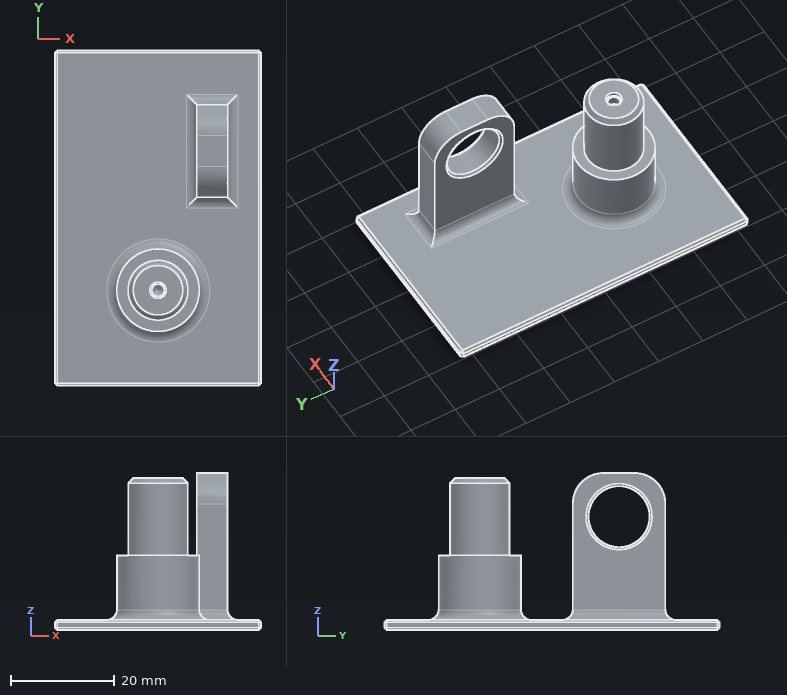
import cadquery as cq
import math

PLATE_WIDTH = 40.0
PLATE_LENGTH = 65.0
PLATE_THICKNESS = 2.0
PLATE_CHAMFER = 0.5

ROOT_FILLET = 2.0
ROOT_SEARCH_MARGIN = 0.1

POST_X = 0.0
POST_Y = -14.0
BOSS_DIAMETER = 16.0
BOSS_HEIGHT = 12.5
PIN_DIAMETER = 11.6
PIN_LENGTH = 15.0
PIN_CHAMFER = 1.0
PIN_TOP = PLATE_THICKNESS + BOSS_HEIGHT + PIN_LENGTH

CENTRE_HOLE_DIAMETER = 2.4
CENTRE_HOLE_DEPTH = 3.0
DRILL_POINT_ANGLE = 118.0
COUNTERBORE_DIAMETER = 3.15
COUNTERBORE_DEPTH = 0.9

LUG_X = 10.5
LUG_Y = 13.0
LUG_THICKNESS = 6.0
LUG_WIDTH = 18.0
LUG_HEIGHT = 28.5
LUG_CORNER_RADIUS = 6.0
LUG_HOLE_DIAMETER = 11.79
LUG_HOLE_Z = 22.0
LUG_HOLE_CHAMFER = 0.5


def make_plate():
    """Rectangular plate with all of its edges chamfered."""
    plate = cq.Workplane("XY").box(
        PLATE_WIDTH, PLATE_LENGTH, PLATE_THICKNESS, centered=(True, True, False)
    )
    return plate.edges().chamfer(PLATE_CHAMFER)


def fillet_root(body, x, y, size_x, size_y):
    """Fillet the edges where a feature with the given footprint meets the plate top."""
    half_x = size_x / 2 + ROOT_SEARCH_MARGIN
    half_y = size_y / 2 + ROOT_SEARCH_MARGIN
    lower = (x - half_x, y - half_y, PLATE_THICKNESS - ROOT_SEARCH_MARGIN)
    upper = (x + half_x, y + half_y, PLATE_THICKNESS + ROOT_SEARCH_MARGIN)
    root_edges = body.edges(cq.selectors.BoxSelector(lower, upper, boundingbox=True))
    return root_edges.fillet(ROOT_FILLET)


def add_post(body):
    """Stand the boss and its pin on the plate and fillet the boss root."""
    boss = (
        cq.Workplane("XY", origin=(POST_X, POST_Y, PLATE_THICKNESS))
        .circle(BOSS_DIAMETER / 2)
        .extrude(BOSS_HEIGHT)
    )
    pin = (
        boss.faces(">Z")
        .workplane()
        .circle(PIN_DIAMETER / 2)
        .extrude(PIN_LENGTH, combine=False)
        .faces(">Z")
        .chamfer(PIN_CHAMFER)
    )
    with_boss = fillet_root(body.union(boss), POST_X, POST_Y, BOSS_DIAMETER, BOSS_DIAMETER)
    return with_boss.union(pin)


def add_lug(body):
    """Stand the lug on the plate, round its top corners and fillet its root."""
    lug = (
        cq.Workplane("XY", origin=(LUG_X, LUG_Y, PLATE_THICKNESS))
        .box(LUG_THICKNESS, LUG_WIDTH, LUG_HEIGHT, centered=(True, True, False))
        .edges("|X and >Z")
        .fillet(LUG_CORNER_RADIUS)
    )
    return fillet_root(body.union(lug), LUG_X, LUG_Y, LUG_THICKNESS, LUG_WIDTH)


def make_centre_hole():
    """Drilled hole with a shallow counterbore at its mouth and a conical bottom."""
    radius = CENTRE_HOLE_DIAMETER / 2
    mouth_radius = COUNTERBORE_DIAMETER / 2
    point_depth = radius / math.tan(math.radians(DRILL_POINT_ANGLE / 2))
    outline = [
        (0, 0),
        (mouth_radius, 0),
        (mouth_radius, -COUNTERBORE_DEPTH),
        (radius, -COUNTERBORE_DEPTH),
        (radius, -CENTRE_HOLE_DEPTH),
        (0, -CENTRE_HOLE_DEPTH - point_depth),
    ]
    profile = cq.Workplane("XZ", origin=(POST_X, POST_Y, PIN_TOP)).polyline(outline).close()
    return profile.revolve(360, (0, 0, 0), (0, 1, 0))


def make_lug_hole():
    """Cross hole through the lug with a 45 degree chamfer at both mouths."""
    radius = LUG_HOLE_DIAMETER / 2
    mouth_radius = radius + LUG_HOLE_CHAMFER
    half_length = LUG_THICKNESS / 2
    straight_half_length = half_length - LUG_HOLE_CHAMFER
    outline = [
        (-half_length, 0),
        (-half_length, mouth_radius),
        (-straight_half_length, radius),
        (straight_half_length, radius),
        (half_length, mouth_radius),
        (half_length, 0),
    ]
    profile = cq.Workplane("XZ", origin=(LUG_X, LUG_Y, LUG_HOLE_Z)).polyline(outline).close()
    return profile.revolve(360, (0, 0, 0), (1, 0, 0))


body = make_plate()
body = add_post(body)
body = add_lug(body)
result = body.cut(make_centre_hole()).cut(make_lug_hole())